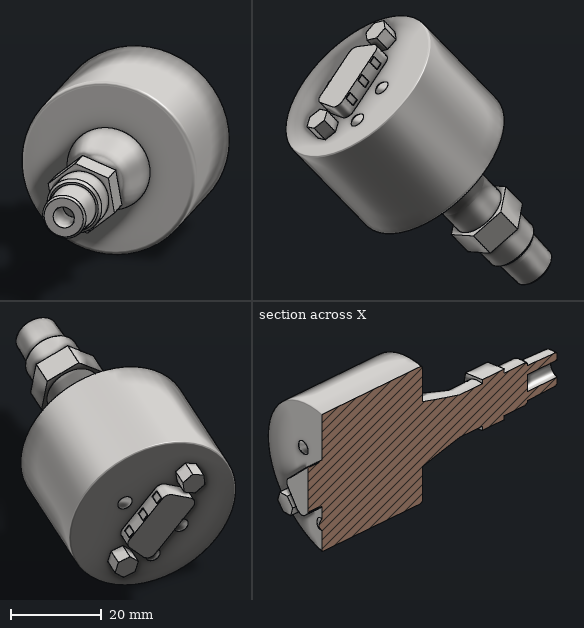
import cadquery as cq
import math

body_diameter = 40.2
body_radius = body_diameter / 2
body_length = 27.85
front_edge_radius = 0.95
rear_edge_radius = 0.4

cone_base_radius = 9.5
neck_radius = 6.3
cone_length = 10.2
collar_length = 28.9
collar_chamfer = 0.6
stem_length = 37.0
spigot_radius = 5.2
spigot_straight_end = 30.35
tip_radius = 4.95
tip_chamfer = 0.5
bore_radius = 2.4
bore_depth = stem_length - collar_length

nut_across_flats = 14.0
nut_start = 16.35
nut_length = 6.15
nut_corner_angle = 40

connector_angle = 40.5
post_rise = 0.2
connector_height = 4.1
shell_height = connector_height - post_rise
shell_width = 8.9
shell_middle_length = 16.8
shell_end_tilt = 10
shell_corner_radius = 1.85

recess_pitch = 5.1
recess_width = 1.65
recess_height = 2.55
recess_lift = 0.8
recess_depth = 0.2

post_offset = 12.5
post_corner_diameter = 5.8
upper_post_turn = 43.5
lower_post_turn = 5.5

button_radius = 1.7
button_height = 0.8
side_button_offset = 8.9
lower_button_z = -12.1


def turn_about_axis(solid, angle):
    """Turn from +X towards +Z about the Y axis."""
    return solid.rotate((0, 0, 0), (0, -1, 0), angle)


def rear_plane(lift=0):
    """XZ plane raised above the rear face; negative extrusions go to +Y."""
    return cq.Workplane("XZ", origin=(0, body_length + lift, 0))


def make_body():
    drum = cq.Workplane("XZ").circle(body_radius).extrude(-body_length)
    drum = drum.faces("<Y").edges().fillet(front_edge_radius)
    return drum.faces(">Y").edges().fillet(rear_edge_radius)


def make_stem():
    profile = [
        (0, 0),
        (cone_base_radius, 0),
        (neck_radius, -cone_length),
        (neck_radius, collar_chamfer - collar_length),
        (neck_radius - collar_chamfer, -collar_length),
        (spigot_radius, -collar_length),
        (spigot_radius, -spigot_straight_end),
        (tip_radius, tip_chamfer - stem_length),
        (tip_radius - tip_chamfer, -stem_length),
        (0, -stem_length),
    ]
    turned = cq.Workplane("XY").polyline(profile).close().revolve(360, (0, 0, 0), (0, 1, 0))
    nut_diameter = nut_across_flats / math.cos(math.radians(30))
    nut = cq.Workplane("XZ", origin=(0, -nut_start, 0)).polygon(6, nut_diameter).extrude(nut_length)
    return turned.union(turn_about_axis(nut, nut_corner_angle))


def make_bore():
    return cq.Workplane("XZ", origin=(0, -stem_length, 0)).circle(bore_radius).extrude(-bore_depth)


def make_shell():
    """D-shaped shell: long sides face +X (short one) and -X (long one)."""
    half_width = shell_width / 2
    end_shift = half_width * math.tan(math.radians(shell_end_tilt))
    short_half = shell_middle_length / 2 - end_shift
    long_half = shell_middle_length / 2 + end_shift
    outline = [
        (half_width, -short_half),
        (half_width, short_half),
        (-half_width, long_half),
        (-half_width, -long_half),
    ]
    shell = rear_plane().polyline(outline).close().extrude(-shell_height)
    shell = shell.edges("|Y").fillet(shell_corner_radius)
    recess_centres = [
        (side * half_width, step * recess_pitch)
        for side in (-1, 1)
        for step in (-1, 0, 1)
    ]
    recesses = (
        rear_plane(recess_lift)
        .pushPoints(recess_centres)
        .rect(2 * recess_depth, recess_width)
        .extrude(-recess_height)
    )
    return shell.cut(recesses)


def make_post(offset, turn):
    post = rear_plane().polygon(6, post_corner_diameter).extrude(-connector_height)
    return turn_about_axis(post, turn).translate((0, 0, offset))


def make_button(x, z):
    """Spherical cap standing on the rear face."""
    sphere_radius = (button_radius**2 + button_height**2) / (2 * button_height)
    ball_centre = (x, body_length + button_height - sphere_radius, z)
    return cq.Workplane("XY").sphere(sphere_radius).translate(ball_centre)


def make_connector():
    connector = make_shell()
    connector = connector.union(make_post(post_offset, upper_post_turn))
    connector = connector.union(make_post(-post_offset, lower_post_turn))
    for side in (-1, 1):
        connector = connector.union(make_button(side * side_button_offset, 0))
    return turn_about_axis(connector, connector_angle)


result = (
    make_body()
    .union(make_stem())
    .union(make_connector())
    .union(make_button(0, lower_button_z))
    .cut(make_bore())
)